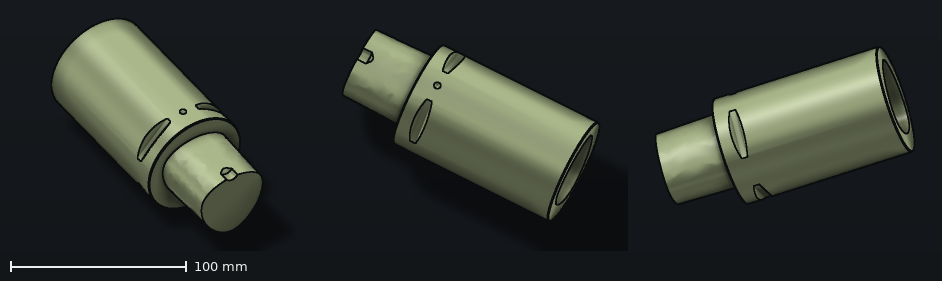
import cadquery as cq
import math

total_length = 138.0
body_length = 100.0
shank_length = total_length - body_length
body_diameter = 63.0
body_radius = body_diameter / 2
edge_chamfer = 0.5

coupling_width = 44.0
lobe_height = 1.4
taper_ratio = 1 / 20
lobe_points = 72

socket_depth = 38.0
bore_diameter = 28.5
bore_depth = 13.8

groove_setback = 12.0
groove_x = body_length - groove_setback
groove_floor_radius = 28.0
groove_floor_width = 3.5
groove_corner_radius = 0.7
groove_wall_angle = 30.0
groove_cutter_clearance = 1.4
groove_count = 4

dimple_diameter = 4.0
dimple_depth = 1.4

key_diameter = 9.1
key_straight_length = 6.0
key_tip_angle = 90.0
key_axis_z = 22.1


def lobed_outline(x, width):
    """Closed constant-width outline across X, with one lobe pointing to -Z."""

    def point(angle):
        reach = width / 2 + lobe_height * math.cos(3 * angle)
        slope = -3 * lobe_height * math.sin(3 * angle)
        y = -reach * math.sin(angle) - slope * math.cos(angle)
        z = -reach * math.cos(angle) + slope * math.sin(angle)
        return (y, z)

    points = [point(2 * math.pi * i / lobe_points) for i in range(lobe_points)]
    return cq.Workplane("YZ", origin=(x, 0, 0)).spline(points, periodic=True).close().val()


def tapered_coupling(x, length):
    """Lobed taper that is widest at x and narrows towards +X."""
    end_width = coupling_width - length * taper_ratio
    wide_outline = lobed_outline(x, coupling_width)
    narrow_outline = lobed_outline(x + length, end_width)
    return cq.Workplane(obj=cq.Solid.makeLoft([wide_outline, narrow_outline], True))


def gripper_grooves():
    """Straight trapezoidal grooves on the diagonals of the body."""
    outer_radius = body_radius + groove_cutter_clearance
    wall_spread = (outer_radius - groove_floor_radius) * math.tan(math.radians(groove_wall_angle))
    floor_half = groove_floor_width / 2
    outer_half = floor_half + wall_spread
    cutter = (
        cq.Workplane("XZ")
        .moveTo(groove_x - floor_half, groove_floor_radius)
        .lineTo(groove_x + floor_half, groove_floor_radius)
        .lineTo(groove_x + outer_half, outer_radius)
        .lineTo(groove_x - outer_half, outer_radius)
        .close()
        .extrude(body_radius, both=True)
        .edges("|Y and <Z")
        .fillet(groove_corner_radius)
    )
    grooves = cq.Workplane()
    step = 360 / groove_count
    for i in range(groove_count):
        grooves = grooves.add(cutter.rotate((0, 0, 0), (1, 0, 0), (i + 0.5) * step))
    return grooves.combine()


def dimple():
    """Cone with its tip down, open at the top of the body."""
    cone = cq.Solid.makeCone(
        dimple_diameter / 2, 0, dimple_depth,
        pnt=cq.Vector(groove_x, 0, body_radius), dir=cq.Vector(0, 0, -1),
    )
    return cq.Workplane(obj=cone)


def key_groove():
    """Round-bottomed groove along X, cut into the top of the shank end."""
    radius = key_diameter / 2
    tip_length = radius / math.tan(math.radians(key_tip_angle / 2))
    return (
        cq.Workplane("XZ", origin=(total_length, 0, key_axis_z))
        .lineTo(0, radius)
        .lineTo(-key_straight_length, radius)
        .lineTo(-key_straight_length - tip_length, 0)
        .close()
        .revolve(360, (0, 0, 0), (1, 0, 0))
    )


body = cq.Workplane("YZ").circle(body_radius).extrude(body_length).edges().chamfer(edge_chamfer)
bore = cq.Workplane("YZ", origin=(socket_depth, 0, 0)).circle(bore_diameter / 2).extrude(bore_depth)

result = (
    body.union(tapered_coupling(body_length, shank_length))
    .cut(tapered_coupling(0, socket_depth))
    .cut(bore)
    .cut(gripper_grooves())
    .cut(dimple())
    .cut(key_groove())
)